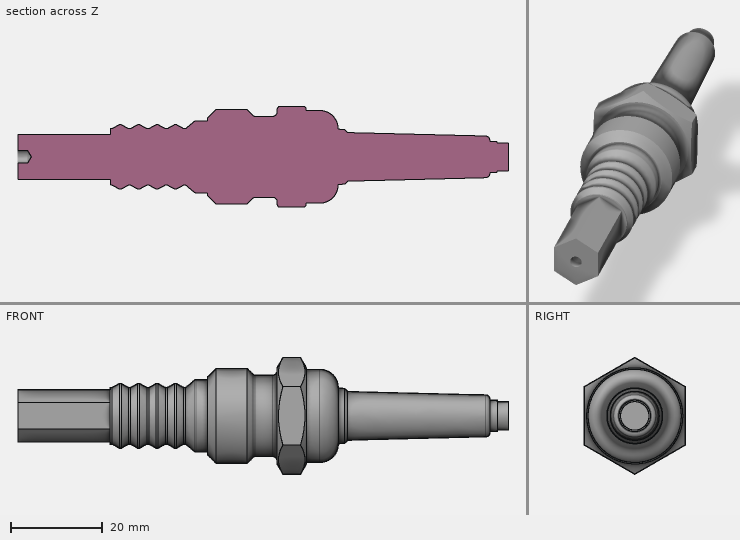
import cadquery as cq
import math

TOTAL_LENGTH = 107.0
SHANK_LENGTH = 20.1
SHOULDER_CORNER = 38.6
BODY_START = 41.3
WAIST_CORNER = 51.5
NUT_START = 56.5
NUT_END = 62.9
ROD_START = 71.9
ROD_END = 102.9
TIP_STEP = 104.5

SHANK_ACROSS_FLATS = 10.0
NUT_ACROSS_FLATS = 22.0
CORNERS_PER_FLATS = 1 / math.cos(math.radians(30))
NUT_FACE_RADIUS = 10.5
NUT_CHAMFER_ANGLE = 30.0
ENVELOPE_CLEARANCE = 0.1

RIB_COUNT = 4
RIBBED_LENGTH = 16.0
RIB_LAND = 0.4
GROOVE_LAND = 0.4
GROOVE_RADIUS = 6.2
RIB_RADIUS = 7.1

SHOULDER_RADIUS = 7.9
BODY_REAR_RADIUS = 8.5
BODY_RADIUS = 10.4
WAIST_RADIUS = 8.9
WAIST_FILLET = 1.0
BLEND_SETBACK = 0.2

COLLAR_RADIUS = 10.2
DOME_START = 65.8
DOME_FILLET = 4.1
NECK_RADIUS = 6.0
NECK_CHAMFER = 0.6

ROD_START_RADIUS = 5.4
ROD_END_RADIUS = 4.6
ROD_FILLET = 1.0
TIP_RADIUS = 3.4
TIP_END_RADIUS = 3.1

HOLE_DIAMETER = 2.6
HOLE_DEPTH = 2.1
DRILL_POINT_ANGLE = 118.0


def hex_prism(start, length, across_flats):
    """Hexagonal bar along +X with its corners on the top and bottom."""
    return (
        cq.Workplane("YZ", origin=(start, 0, 0))
        .transformed(rotate=(0, 0, 90))
        .polygon(6, across_flats * CORNERS_PER_FLATS)
        .extrude(length)
    )


def revolve_about_x(profile):
    """Full turn of an XY half profile around the X axis."""
    return profile.close().revolve(360, (0, 0, 0), (1, 0, 0))


def rib_points():
    """Trapezoidal ribs with narrow lands on the crests and in the grooves."""
    pitch = RIBBED_LENGTH / RIB_COUNT
    flank = (pitch - RIB_LAND - GROOVE_LAND) / 2
    points = []
    for index in range(RIB_COUNT):
        groove_end = SHANK_LENGTH + GROOVE_LAND + index * pitch
        crest_start = groove_end + flank
        crest_end = crest_start + RIB_LAND
        points += [
            (groove_end, GROOVE_RADIUS),
            (crest_start, RIB_RADIUS),
            (crest_end, RIB_RADIUS),
            (crest_end + flank, GROOVE_RADIUS),
        ]
    return points


def blend_to_cylinder(profile, cone_start, corner, setback):
    """Continue along a cone and round its corner tangentially onto a cylinder."""
    slope = math.atan2(corner[1] - cone_start[1], corner[0] - cone_start[0])
    arc_start = (corner[0] - setback * math.cos(slope), corner[1] - setback * math.sin(slope))
    arc_end = (corner[0] + setback, corner[1])
    return profile.lineTo(*arc_start).tangentArcPoint(arc_end, relative=False)


def round_body():
    """All turned surfaces, from the first groove to the tip."""
    last_groove_end = SHANK_LENGTH + RIBBED_LENGTH + GROOVE_LAND
    body_bevel_end = BODY_START + BODY_RADIUS - BODY_REAR_RADIUS
    waist_bevel_start = WAIST_CORNER - (BODY_RADIUS - WAIST_RADIUS)
    waist_fillet_start = NUT_START - WAIST_FILLET
    dome_end = DOME_START + DOME_FILLET

    profile = cq.Workplane("XY").moveTo(SHANK_LENGTH, 0).lineTo(SHANK_LENGTH, GROOVE_RADIUS)
    for point in rib_points():
        profile = profile.lineTo(*point)
    profile = profile.lineTo(last_groove_end, GROOVE_RADIUS)
    profile = blend_to_cylinder(
        profile,
        (last_groove_end, GROOVE_RADIUS),
        (SHOULDER_CORNER, SHOULDER_RADIUS),
        BLEND_SETBACK,
    )

    profile = (
        profile.lineTo(BODY_START, SHOULDER_RADIUS)
        .lineTo(BODY_START, BODY_REAR_RADIUS)
        .lineTo(body_bevel_end, BODY_RADIUS)
        .lineTo(waist_bevel_start, BODY_RADIUS)
    )
    profile = blend_to_cylinder(
        profile,
        (waist_bevel_start, BODY_RADIUS),
        (WAIST_CORNER, WAIST_RADIUS),
        BLEND_SETBACK,
    )
    profile = profile.lineTo(waist_fillet_start, WAIST_RADIUS)
    profile = profile.tangentArcPoint((NUT_START, WAIST_RADIUS + WAIST_FILLET), relative=False)

    profile = profile.lineTo(NUT_START, COLLAR_RADIUS).lineTo(DOME_START, COLLAR_RADIUS)
    profile = profile.tangentArcPoint((dome_end, COLLAR_RADIUS - DOME_FILLET), relative=False)

    profile = (
        profile.lineTo(ROD_START - NECK_CHAMFER, NECK_RADIUS)
        .lineTo(ROD_START, ROD_START_RADIUS)
        .lineTo(ROD_END - ROD_FILLET, ROD_END_RADIUS)
    )
    profile = profile.tangentArcPoint((ROD_END, ROD_END_RADIUS - ROD_FILLET), relative=False)
    profile = (
        profile.lineTo(ROD_END, TIP_RADIUS)
        .lineTo(TIP_STEP, TIP_RADIUS)
        .lineTo(TIP_STEP, TIP_END_RADIUS)
        .lineTo(TOTAL_LENGTH, TIP_END_RADIUS)
        .lineTo(TOTAL_LENGTH, 0)
    )
    return revolve_about_x(profile)


def nut():
    """Hexagonal collar whose corners are turned off conically at both faces."""
    length = NUT_END - NUT_START
    prism = hex_prism(NUT_START, length, NUT_ACROSS_FLATS)
    outer_radius = NUT_ACROSS_FLATS * CORNERS_PER_FLATS / 2 + ENVELOPE_CLEARANCE
    bevel = (outer_radius - NUT_FACE_RADIUS) * math.tan(math.radians(NUT_CHAMFER_ANGLE))
    envelope = revolve_about_x(
        cq.Workplane("XY")
        .moveTo(NUT_START, 0)
        .lineTo(NUT_START, NUT_FACE_RADIUS)
        .lineTo(NUT_START + bevel, outer_radius)
        .lineTo(NUT_END - bevel, outer_radius)
        .lineTo(NUT_END, NUT_FACE_RADIUS)
        .lineTo(NUT_END, 0)
    )
    return prism.intersect(envelope)


def end_hole():
    """Drilled blind hole with a conical bottom."""
    radius = HOLE_DIAMETER / 2
    point_length = radius / math.tan(math.radians(DRILL_POINT_ANGLE / 2))
    return revolve_about_x(
        cq.Workplane("XY")
        .lineTo(0, radius)
        .lineTo(HOLE_DEPTH, radius)
        .lineTo(HOLE_DEPTH + point_length, 0)
    )


shank = hex_prism(0, SHANK_LENGTH, SHANK_ACROSS_FLATS)
result = round_body().union(shank).union(nut()).cut(end_hole())